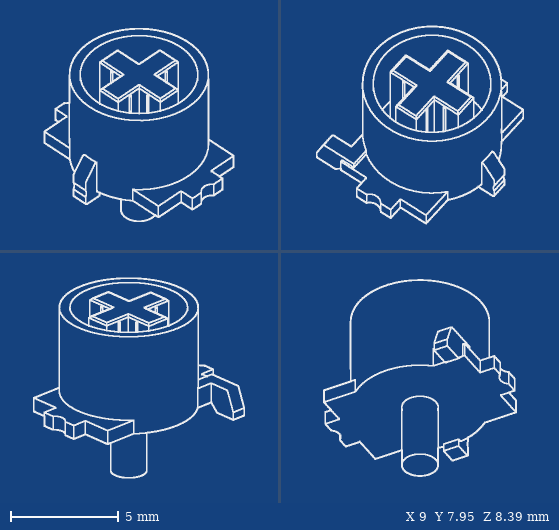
import cadquery as cq

CUP_DIAMETER = 6.5
CUP_BORE = 5.5
CUP_HEIGHT = 5.0
CUP_FLOOR = 0.7

PIN_DIAMETER = 1.7
PIN_LENGTH = 3.39

PLATE_THICKNESS = 0.7
PLATE_LENGTH = 7.5
PLATE_WIDTH = 5.0
TAB_SPAN = 9.0
TAB_WIDTH = 2.0
NOTCH_RADIUS = 0.5
NOTCH_DEPTH = 0.21

CROSS_LENGTH = 4.0
CROSS_WIDTH = 1.21
CROSS_CHAMFER = 0.1
RIB_RADIUS = 0.05
RIB_OFFSET = 1.2
RIB_DROP = 0.2

FOOT_BOTTOM = -0.4
FOOT_ROUNDING = 0.1

ARM_LEFT = -3.645
ARM_WIDTH = 0.71
ARM_TOP = 1.0
ARM_TIP_Y = 4.0
ARM_SLOPE_TOP_Y = 3.6
ARM_HEEL_Y = 2.9
PAD_FRONT_Y = 1.81

BLOCK_WIDTH = 0.8
BLOCK_TOP = 1.8
BLOCK_SHOULDER = 1.0
BLOCK_FRONT_Y = -3.95
BLOCK_SLOPE_TOP_Y = -3.32
BLOCK_BACK_Y = -3.02
GROOVE_Z = 0.31
GROOVE_HEIGHT = 0.41
GROOVE_DEPTH = 0.045


def upright_box(length, width, height):
    """Box centred on the Z axis, standing on Z = 0."""
    return cq.Workplane("XY").box(length, width, height, centered=(True, True, False))


def cylinder(diameter, bottom, height):
    return cq.Workplane("XY").workplane(offset=bottom).circle(diameter / 2).extrude(height)


def base_plate():
    plate = upright_box(PLATE_LENGTH, PLATE_WIDTH, PLATE_THICKNESS)
    plate = plate.union(upright_box(TAB_SPAN, TAB_WIDTH, PLATE_THICKNESS))
    notch_x = TAB_SPAN / 2 - NOTCH_DEPTH + NOTCH_RADIUS
    notches = (
        cq.Workplane("XY")
        .pushPoints([(-notch_x, 0), (notch_x, 0)])
        .circle(NOTCH_RADIUS)
        .extrude(PLATE_THICKNESS)
    )
    return plate.cut(notches)


def cross():
    height = CUP_HEIGHT - CUP_FLOOR
    body = upright_box(CROSS_LENGTH, CROSS_WIDTH, height)
    body = body.union(upright_box(CROSS_WIDTH, CROSS_LENGTH, height))
    body = body.faces(">Z").chamfer(CROSS_CHAMFER)
    side = CROSS_WIDTH / 2
    rib_points = []
    for sx in (-1, 1):
        for sy in (-1, 1):
            rib_points.append((sx * RIB_OFFSET, sy * side))
            rib_points.append((sx * side, sy * RIB_OFFSET))
    ribs = cq.Workplane("XY").pushPoints(rib_points).circle(RIB_RADIUS).extrude(height - RIB_DROP)
    return body.union(ribs).translate((0, 0, CUP_FLOOR))


def rear_foot():
    plate_back = PLATE_WIDTH / 2
    profile = [
        (PAD_FRONT_Y, PLATE_THICKNESS),
        (PAD_FRONT_Y, ARM_TOP),
        (ARM_SLOPE_TOP_Y, ARM_TOP),
        (ARM_TIP_Y, 0),
        (ARM_TIP_Y, FOOT_BOTTOM),
        (ARM_HEEL_Y, FOOT_BOTTOM),
        (plate_back, 0),
        (plate_back, PLATE_THICKNESS),
    ]
    arm = cq.Workplane("YZ").workplane(offset=ARM_LEFT).polyline(profile).close().extrude(ARM_WIDTH)
    slope_top = cq.selectors.NearestToPointSelector((ARM_LEFT + ARM_WIDTH / 2, ARM_SLOPE_TOP_Y, ARM_TOP))
    arm = arm.edges(slope_top).fillet(FOOT_ROUNDING)
    pad = cq.Workplane("XY").box(
        -ARM_LEFT, plate_back - PAD_FRONT_Y, ARM_TOP - PLATE_THICKNESS, centered=False
    ).translate((ARM_LEFT, PAD_FRONT_Y, PLATE_THICKNESS))
    return arm.union(pad)


def front_foot():
    profile = [
        (BLOCK_BACK_Y, FOOT_BOTTOM),
        (BLOCK_BACK_Y, BLOCK_TOP),
        (BLOCK_SLOPE_TOP_Y, BLOCK_TOP),
        (BLOCK_FRONT_Y, BLOCK_SHOULDER),
        (BLOCK_FRONT_Y, FOOT_BOTTOM),
    ]
    block = cq.Workplane("YZ").polyline(profile).close().extrude(BLOCK_WIDTH / 2, both=True)
    for y, z in profile[2:]:
        block = block.edges(cq.selectors.NearestToPointSelector((0, y, z))).fillet(FOOT_ROUNDING)
    groove = (
        cq.Workplane("YZ")
        .moveTo(BLOCK_FRONT_Y, GROOVE_Z - GROOVE_HEIGHT / 2)
        .threePointArc(
            (BLOCK_FRONT_Y + GROOVE_DEPTH, GROOVE_Z),
            (BLOCK_FRONT_Y, GROOVE_Z + GROOVE_HEIGHT / 2),
        )
        .close()
        .extrude(BLOCK_WIDTH / 2, both=True)
    )
    return block.cut(groove)


result = (
    cylinder(CUP_DIAMETER, 0, CUP_HEIGHT)
    .union(base_plate())
    .union(rear_foot())
    .union(front_foot())
    .cut(cylinder(CUP_BORE, CUP_FLOOR, CUP_HEIGHT - CUP_FLOOR))
    .union(cylinder(PIN_DIAMETER, -PIN_LENGTH, PIN_LENGTH))
    .union(cross())
)